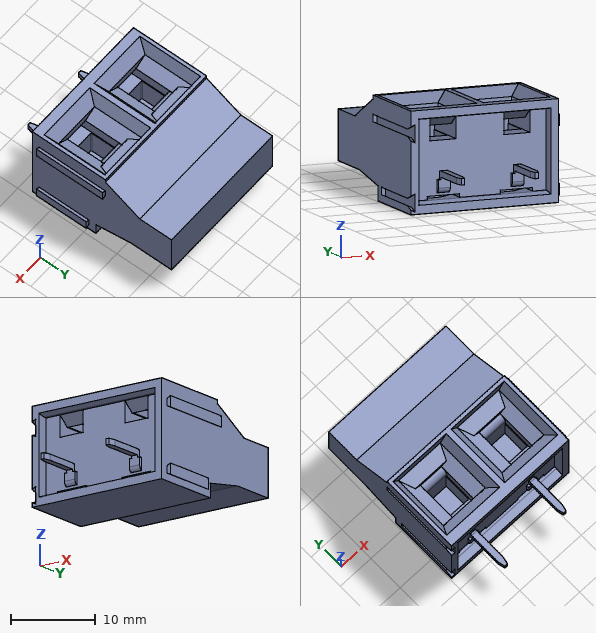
import cadquery as cq
import math


pitch = 9.55
half_width = pitch
depth = 21.05
height = 12.5
side_wall = 0.5
web = 0.81
nose_bottom = 2.82
nose_top = 9.07
nose_top_start = 16.25
nose_bottom_start = 14.94
shoulder_y = 11.05
shoulder_z = 12.01
heel_y = 9.6
heel_z = 1.83

recess_wall = 1.02
recess_depth = 1.4
recess_taper_depth = 1.07
recess_bottom = 1.1
recess_top = 11.45
recess_taper = 0.25
recess_floor = recess_bottom + recess_taper
recess_ceiling = recess_top - recess_taper

mouth_width = pitch - side_wall - web / 2
mouth_front = 1.37
funnel_back = 10.55
throat_half = 3.4
throat_front = 2.85
throat_z = 11.0
slope_end_y = 8.55
slope_end_z = 10.5
passage_half = 1.7
passage_top = 10.0
passage_floor = 8.43
lip_radius = 0.9
lip_y = 7.62

cage_half = 1.6
cage_front = 3.78
cage_floor = 4.78
cage_corner = 0.13

slit_width = 4.2
slit_top = 1.78
slit_depth = 1.02
slit_slope = math.radians(30)

pin_length = 4.35
pin_width = 0.86
pin_bottom = 4.01
pin_top = 4.78
tip_width = 0.43
tip_length = 0.91
bend_radius = 0.69
bend_start = 1.12
strip_width = 1.52
strip_top = 3.73
strip_bend_z = 2.72
strip_proud = 0.38
embed = 0.75

rail_height = 0.53
rail_front = 1.02
rail_flare = 0.25
groove_front_flare = 0.38
upper_rail_z = 9.73
upper_rail_end = shoulder_y
lower_rail_z = 1.4
lower_rail_end = 8.55
rail_neck = 0.9

pole_signs = (-1, 1)


def block(x, y, z):
    """Box from three (start, end) ranges."""
    size = [end - start for start, end in (x, y, z)]
    return cq.Workplane("XY").box(*size, centered=False).translate((x[0], y[0], z[0]))


def side_profile(points, x_start, x_end):
    """Extrude a (y, z) outline along X."""
    outline = cq.Workplane("YZ", origin=(x_start, 0, 0)).polyline(points).close()
    return outline.extrude(x_end - x_start)


def make_housing():
    outline = [
        (0, 0),
        (heel_y, 0),
        (heel_y, heel_z),
        (nose_bottom_start, nose_bottom),
        (depth, nose_bottom),
        (depth, nose_top),
        (nose_top_start, nose_top),
        (shoulder_y, shoulder_z),
        (shoulder_y, height),
        (0, height),
    ]
    return side_profile(outline, -half_width, half_width)


def make_recess():
    outline = [
        (0, recess_bottom),
        (recess_taper_depth, recess_floor),
        (recess_depth, recess_floor),
        (recess_depth, recess_ceiling),
        (recess_taper_depth, recess_ceiling),
        (0, recess_top),
    ]
    return side_profile(outline, recess_wall - half_width, half_width - recess_wall)


def make_funnel(pole_x, mouth_x):
    """Tapered mouth, then a throat with sloping sides and a sloping back."""
    mouth_centre_y = (mouth_front + funnel_back) / 2
    throat_centre_y = (throat_front + funnel_back) / 2
    mouth = (
        cq.Workplane("XY", origin=(pole_x, throat_centre_y, throat_z))
        .rect(2 * throat_half, funnel_back - throat_front)
        .workplane(offset=height - throat_z)
        .center(mouth_x - pole_x, mouth_centre_y - throat_centre_y)
        .rect(mouth_width, funnel_back - mouth_front)
        .loft(ruled=True)
    )
    sloping_sides = (
        cq.Workplane("XZ", origin=(pole_x, throat_front, 0))
        .polyline([
            (-throat_half, throat_z),
            (throat_half, throat_z),
            (passage_half, passage_top),
            (-passage_half, passage_top),
        ])
        .close()
        .extrude(throat_front - funnel_back)
    )
    sloping_back = side_profile(
        [
            (throat_front, throat_z),
            (funnel_back, throat_z),
            (slope_end_y, slope_end_z),
            (slope_end_y, passage_top),
            (throat_front, passage_top),
        ],
        pole_x - throat_half,
        pole_x + throat_half,
    )
    return mouth.union(sloping_sides.intersect(sloping_back))


def make_passage(pole_x):
    """Opening from the recess under the funnel, ending at a rounded lip."""
    arc_centre_y = lip_y + lip_radius
    arc_offset = lip_radius * math.sqrt(0.5)
    lip_z = passage_top - lip_radius
    return (
        cq.Workplane("YZ", origin=(pole_x - passage_half, 0, 0))
        .moveTo(recess_depth, passage_floor)
        .lineTo(recess_depth, recess_ceiling)
        .lineTo(throat_front, passage_top)
        .lineTo(arc_centre_y, passage_top)
        .threePointArc((arc_centre_y - arc_offset, lip_z + arc_offset), (lip_y, lip_z))
        .lineTo(lip_y, passage_floor)
        .close()
        .extrude(2 * passage_half)
    )


def make_cage(pole_x):
    cage = block(
        (pole_x - cage_half, pole_x + cage_half),
        (cage_front, lip_y),
        (cage_floor, passage_floor),
    )
    return cage.edges("|Z and <Y").fillet(cage_corner)


def make_slit(slit_x):
    """Slit whose right half has a slanted back."""
    half = slit_width / 2
    flat_y = recess_depth + slit_depth
    return (
        cq.Workplane("XY", origin=(slit_x, 0, recess_floor))
        .polyline([
            (-half, recess_taper_depth),
            (half, recess_taper_depth),
            (half, flat_y + half * math.tan(slit_slope)),
            (0, flat_y),
            (-half, flat_y),
        ])
        .close()
        .extrude(slit_top - recess_floor)
    )


def make_pin(pole_x):
    """Bent strip: a flat foot on the recess wall and a tapered pin standing out of it."""
    half = pin_width / 2
    half_tip = tip_width / 2
    root_y = bend_start + bend_radius
    pin = (
        cq.Workplane("XY", origin=(pole_x, 0, pin_bottom))
        .polyline([
            (-half, root_y),
            (-half, tip_length - pin_length),
            (-half_tip, -pin_length),
            (half_tip, -pin_length),
            (half, tip_length - pin_length),
            (half, root_y),
        ])
        .close()
        .extrude(pin_top - pin_bottom)
        .edges("|X and >Y and >Z")
        .fillet(bend_radius)
    )
    face_y = recess_depth - strip_proud
    back_y = recess_depth + embed
    neck = block((pole_x - half, pole_x + half), (face_y, back_y), (strip_top, pin_bottom))
    strip = (
        block(
            (pole_x - strip_width / 2, pole_x + strip_width / 2),
            (face_y, back_y),
            (strip_bend_z - bend_radius, strip_top),
        )
        .edges("|X and <Y and <Z")
        .fillet(bend_radius)
    )
    return pin.union(neck).union(strip)


def make_dovetail(side_x, centre_z, y_start, y_end):
    """Bar that widens away from its narrow side at x = side_x, towards +X."""
    narrow = rail_neck / 2
    wide = narrow + rail_flare
    return (
        cq.Workplane("XZ", origin=(side_x, y_start, centre_z))
        .polyline([
            (0, -narrow),
            (rail_height, -wide),
            (rail_height, wide),
            (0, narrow),
        ])
        .close()
        .extrude(y_start - y_end)
    )


def make_groove_entry(centre_z):
    """Lead-in that widens the groove towards the pin side."""
    narrow = rail_neck / 2
    wide = narrow + groove_front_flare

    def section(y, half_opening):
        return [
            cq.Vector(-half_width, y, centre_z - half_opening),
            cq.Vector(rail_height - half_width, y, centre_z - half_opening - rail_flare),
            cq.Vector(rail_height - half_width, y, centre_z + half_opening + rail_flare),
            cq.Vector(-half_width, y, centre_z + half_opening),
        ]

    wires = [
        cq.Wire.makePolygon(section(y, half_opening), close=True)
        for y, half_opening in ((0, wide), (rail_front, narrow))
    ]
    return cq.Workplane(cq.Solid.makeLoft(wires, True))


result = make_housing().cut(make_recess())

for sign in pole_signs:
    pole_x = sign * pitch / 2
    mouth_x = sign * (web / 2 + mouth_width / 2)
    result = result.cut(make_funnel(pole_x, mouth_x))
    result = result.cut(make_passage(pole_x))
    result = result.cut(make_cage(pole_x))
    result = result.cut(make_slit(mouth_x))
    result = result.union(make_pin(pole_x))

for centre_z, rail_end in ((upper_rail_z, upper_rail_end), (lower_rail_z, lower_rail_end)):
    result = result.cut(make_dovetail(-half_width, centre_z, 0, rail_end))
    result = result.cut(make_groove_entry(centre_z))
    result = result.union(make_dovetail(half_width, centre_z, rail_front, rail_end))